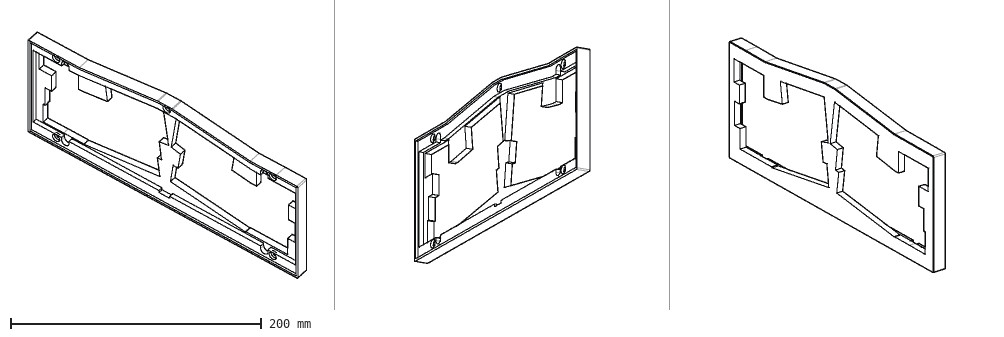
import cadquery as cq

LENGTH = 273.0
DEPTH = 12.0
HEIGHT = 113.3

LEDGE_LEVEL = 2.0
SCREW_FLOOR_LEVEL = 4.5
PLATE_LEVEL = 6.0
SCREW_HOLE_LEVEL = 10.0

RIM_WIDTH = 2.0
CORNER_RADIUS = 1.0
BEND_RADIUS = 5.5
BACK_CHAMFER = 0.5

LEFT_END_HEIGHT = 102.7
RIGHT_END_HEIGHT = 102.7
RIGHT_KINK = (251.2, 102.7)
LEFT_SHOULDER = (52.2, 103.0)
RIGHT_SHOULDER = (225.0, 102.5)
CREST_LEFT_X = 131.3
CREST_RIGHT_X = 146.0

RECESS_INSET = 3.8
RECESS_BOTTOM = 11.5
RECESS_SHOULDER = 91.5
RECESS_INNER_SHOULDER = 91.0
RECESS_CREST = 102.0
RECESS_BEND_LEFT_X = 46.5
RECESS_BEND_RIGHT_X = 226.5
RECESS_CREST_LEFT_X = 129.1
RECESS_CREST_RIGHT_X = 147.5

SCREW_HOLE_DIAMETER = 2.0
SCREW_HEAD_DIAMETER = 7.0
SCREW_SIDE_INSET = 27.0
SCREW_LOWER_Z = 7.6
SCREW_UPPER_Z = 96.0
CREST_SCREW = (138.7, 106.8)

RELIEF_DIAMETER = 7.5
RELIEF_LEFT_X = 36.3
RELIEF_RIGHT_X = 237.5
RELIEF_LOWER_Z = 8.7
RELIEF_UPPER_Z = 94.2

NOTCH_LEFT_X = 131.0
NOTCH_RIGHT_X = 141.7
NOTCH_BOTTOM = 9.3

OUTLINE = [
    (0, 0),
    (LENGTH, 0),
    (LENGTH, RIGHT_END_HEIGHT),
    RIGHT_KINK,
    RIGHT_SHOULDER,
    (CREST_RIGHT_X, HEIGHT),
    (CREST_LEFT_X, HEIGHT),
    LEFT_SHOULDER,
    (0, LEFT_END_HEIGHT),
]

LEFT_OPENING = [
    (6.8, 89.8), (46.5, 89.8), (46.5, 70.7), (50.8, 70.7), (76.0, 74.5), (73.5, 93.7),
    (132.0, 101.5), (137.5, 62.8), (128.0, 61.2), (130.5, 42.3), (126.1, 41.8), (129.0, 22.7),
    (52.2, 12.5), (52.2, 12.8), (31.7, 12.8), (11.0, 12.5), (11.0, 32.2), (12.8, 32.2),
    (12.8, 52.0), (19.5, 52.0), (19.5, 69.4), (6.8, 69.4),
]
RIGHT_OPENING = [
    (145.8, 100.8), (140.3, 62.5), (149.5, 60.0), (147.2, 43.0), (142.3, 43.5), (139.5, 23.5),
    (215.2, 12.8), (216.0, 13.5), (258.0, 13.5), (258.0, 31.5), (265.5, 31.5), (265.5, 52.7),
    (258.8, 52.7), (258.8, 69.4), (266.2, 69.4), (266.2, 89.8), (226.5, 89.8), (226.5, 70.7),
    (220.5, 70.7), (201.5, 73.7), (204.2, 92.8),
]


def at_depth(y):
    """Workplane facing the front, lying y behind the front face."""
    return cq.Workplane("XZ", origin=(0, y, 0))


def prism(points, y_start, y_end):
    """Solid with the given (X, Z) outline between two levels."""
    return at_depth(y_start).polyline(points).close().extrude(y_start - y_end)


def cylinder(center, diameter, y_start, y_end):
    return at_depth(y_start).center(*center).circle(diameter / 2).extrude(y_start - y_end)


def ledge_slot(x_start, x_end, z_start, z_end):
    """Rectangular cutter from the ledge down to the plate."""
    corners = [(x_start, z_start), (x_end, z_start), (x_end, z_end), (x_start, z_end)]
    return prism(corners, LEDGE_LEVEL, PLATE_LEVEL)


def make_body():
    """Solid case with rounded corners, softened crest bends and a chamfered back."""
    body = prism(OUTLINE, 0, DEPTH)
    body = body.edges("|Y").edges("<X or >X").fillet(CORNER_RADIUS)
    body = body.edges("|Y").edges(">Z").fillet(BEND_RADIUS)
    return body.faces(">Y").edges().chamfer(BACK_CHAMFER)


def make_rim_pocket():
    """Shallow pocket that leaves the rim standing in front of the ledge."""
    inner_outline = at_depth(0).polyline(OUTLINE).close().offset2D(-RIM_WIDTH, "intersection")
    return inner_outline.extrude(-LEDGE_LEVEL)


def make_recess():
    """Recess from the ledge to the plate; its upper edge steps down at each relief."""
    right = LENGTH - RECESS_INSET
    points = [
        (RECESS_INSET, RECESS_BOTTOM),
        (right, RECESS_BOTTOM),
        (right, RECESS_SHOULDER),
        (RELIEF_RIGHT_X, RECESS_SHOULDER),
        (RELIEF_RIGHT_X, RECESS_INNER_SHOULDER),
        (RECESS_BEND_RIGHT_X, RECESS_INNER_SHOULDER),
        (RECESS_CREST_RIGHT_X, RECESS_CREST),
        (RECESS_CREST_LEFT_X, RECESS_CREST),
        (RECESS_BEND_LEFT_X, RECESS_INNER_SHOULDER),
        (RELIEF_LEFT_X, RECESS_INNER_SHOULDER),
        (RELIEF_LEFT_X, RECESS_SHOULDER),
        (RECESS_INSET, RECESS_SHOULDER),
    ]
    return prism(points, LEDGE_LEVEL, PLATE_LEVEL)


def make_screw(center):
    head = cylinder(center, SCREW_HEAD_DIAMETER, LEDGE_LEVEL, SCREW_FLOOR_LEVEL)
    hole = cylinder(center, SCREW_HOLE_DIAMETER, LEDGE_LEVEL, SCREW_HOLE_LEVEL)
    return head.union(hole)


def make_relief(x, z, recess_z):
    """Round end at z, with straight sides running to the recess edge at recess_z."""
    radius = RELIEF_DIAMETER / 2
    round_end = cylinder((x, z), RELIEF_DIAMETER, LEDGE_LEVEL, PLATE_LEVEL)
    return round_end.union(ledge_slot(x - radius, x + radius, z, recess_z))


result = make_body().cut(make_rim_pocket()).cut(make_recess())

for opening in (LEFT_OPENING, RIGHT_OPENING):
    result = result.cut(prism(opening, LEDGE_LEVEL, DEPTH))

result = result.cut(make_screw(CREST_SCREW))
for screw_x in (SCREW_SIDE_INSET, LENGTH - SCREW_SIDE_INSET):
    for screw_z in (SCREW_LOWER_Z, SCREW_UPPER_Z):
        result = result.cut(make_screw((screw_x, screw_z)))

for relief_x in (RELIEF_LEFT_X, RELIEF_RIGHT_X):
    result = result.cut(make_relief(relief_x, RELIEF_LOWER_Z, RECESS_BOTTOM))
    result = result.cut(make_relief(relief_x, RELIEF_UPPER_Z, RECESS_INNER_SHOULDER))

result = result.cut(ledge_slot(NOTCH_LEFT_X, NOTCH_RIGHT_X, NOTCH_BOTTOM, RECESS_BOTTOM))